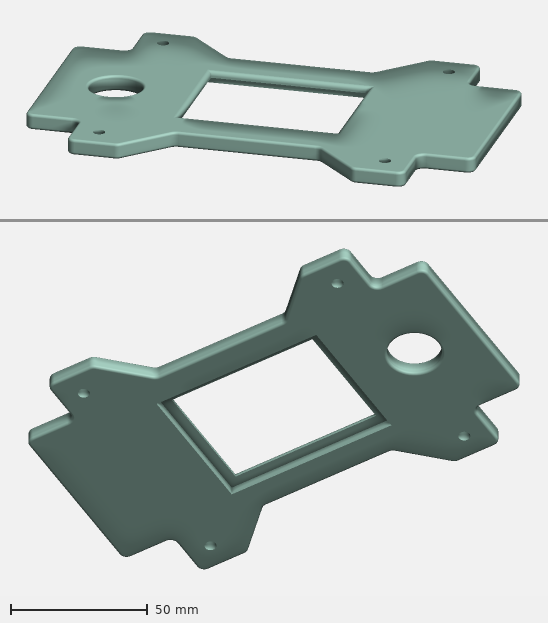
import cadquery as cq

LENGTH = 170.0
WIDTH = 110.0
THICKNESS = 6.0
END_WIDTH = 70.0
WAIST_WIDTH = 76.0
EAR_OUTER_X = 64.0
EAR_INNER_X = 44.4
CORNER_RADIUS = 3.0
EDGE_FILLET = 1.0

WINDOW_LENGTH = 59.8
WINDOW_WIDTH = 45.2
WINDOW_FILLET = 1.7
LIP_THICKNESS = 2.4
LIP_OVERHANG = 4.0
RECESS_LENGTH = WINDOW_LENGTH + 2 * LIP_OVERHANG
RECESS_WIDTH = WINDOW_WIDTH + 2 * LIP_OVERHANG
BUTTON_DIAMETER = 20.0
BUTTON_X = -59.8
SCREW_DIAMETER = 4.5
SCREW_X = 54.0
SCREW_Y = 45.0


def make_plate():
    """Plate with four ears, rounded corners and rounded outer edges."""
    half_length = LENGTH / 2
    half_width = WIDTH / 2
    half_end = END_WIDTH / 2
    half_waist = WAIST_WIDTH / 2
    waist_x = EAR_INNER_X - (half_width - half_waist)

    quarter = [
        (half_length, half_end),
        (EAR_OUTER_X, half_end),
        (EAR_OUTER_X, half_width),
        (EAR_INNER_X, half_width),
        (waist_x, half_waist),
    ]
    upper_half = quarter + [(-x, y) for x, y in reversed(quarter)]
    outline = upper_half + [(x, -y) for x, y in reversed(upper_half)]

    plate = cq.Workplane("XY").polyline(outline).close().extrude(THICKNESS)
    plate = plate.edges("|Z").fillet(CORNER_RADIUS)
    return plate.faces("<Z or >Z").edges().fillet(EDGE_FILLET)


def cut_window(plate):
    """Central window with a rounded upper rim, opening into a larger recess underneath."""
    recess = cq.Workplane("XY").rect(RECESS_LENGTH, RECESS_WIDTH).extrude(THICKNESS - LIP_THICKNESS)
    opening = cq.Workplane("XY").rect(WINDOW_LENGTH, WINDOW_WIDTH).extrude(THICKNESS)
    rim = plate.cut(recess).cut(opening).faces(">Z").wires(cq.selectors.AreaNthSelector(0))
    return rim.edges().fillet(WINDOW_FILLET)


def cut_button_hole(plate):
    """Large round hole in the left end tab with both rims rounded."""
    bore = cq.Workplane("XY").center(BUTTON_X, 0).circle(BUTTON_DIAMETER / 2).extrude(THICKNESS)
    rims = plate.cut(bore).edges(cq.selectors.RadiusNthSelector(-1))
    return rims.fillet(EDGE_FILLET)


def cut_screw_holes(plate):
    """One plain through hole in each ear."""
    return (
        plate.faces(">Z")
        .workplane(origin=(0, 0, THICKNESS))
        .rect(2 * SCREW_X, 2 * SCREW_Y, forConstruction=True)
        .vertices()
        .hole(SCREW_DIAMETER)
    )


result = make_plate()
result = cut_window(result)
result = cut_button_hole(result)
result = cut_screw_holes(result)